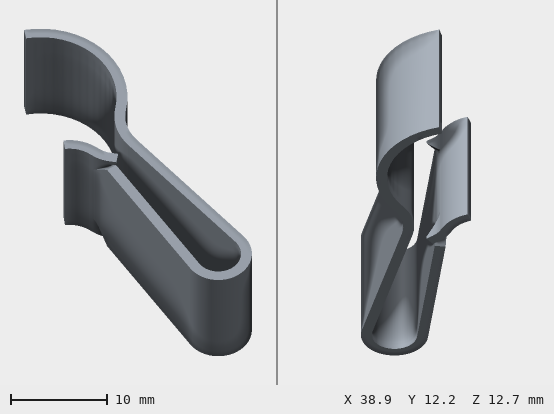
import cadquery as cq
import math

height = 12.7
thickness = 1.13
overall_depth = 12.15
hook_outer_radius = 9.0
hook_center_x = -11.65
hook_entry_angle = 60.0
back_start_x = -0.97
hook_to_back_drop = 5.17
right_end_x = 19.45

arm_angle = 7.4
arm_length = 16.88
lip_bend_radius = 3.3
lip_bend_sweep = 20.5
lip_flat_length = 0.55
lip_curl_radius = 4.05
lip_curl_sweep = 43.5
ear_bend_radius = 3.3
ear_bend_sweep = 26.0
ear_flat_length = 0.78
ear_corner_size = 2.5

half_thickness = thickness / 2
hook_radius = hook_outer_radius - half_thickness
hook_center_y = overall_depth / 2 - hook_outer_radius
loop_radius = (overall_depth - hook_to_back_drop - thickness) / 2
neck_run = back_start_x - hook_center_x
neck_angle = math.degrees(2 * math.atan(hook_to_back_drop / neck_run))
neck_bend_radius = neck_run / math.sin(math.radians(neck_angle)) - hook_radius
back_length = right_end_x - loop_radius - half_thickness - back_start_x


def shifted(point, angle, distance):
    """Point reached by moving a distance in the direction of an angle in degrees."""
    a = math.radians(angle)
    return (point[0] + distance * math.cos(a), point[1] + distance * math.sin(a))


def straight(pose, length):
    """Straight strip segment; returns its solid and the pose at its end."""
    point, heading = pose
    end = shifted(point, heading, length)
    corners = [
        shifted(point, heading + 90, half_thickness),
        shifted(end, heading + 90, half_thickness),
        shifted(end, heading - 90, half_thickness),
        shifted(point, heading - 90, half_thickness),
    ]
    solid = cq.Workplane("XY").polyline(corners).close().extrude(height / 2, both=True)
    return solid, (end, heading)


def bend(pose, radius, sweep):
    """Bent strip segment, positive sweep turning left; returns its solid and end pose."""
    point, heading = pose
    side = heading + math.copysign(90, sweep)
    center = shifted(point, side, radius)
    inner = radius - half_thickness
    outer = radius + half_thickness

    def on_arc(arc_radius, fraction):
        return shifted(center, side + 180 + sweep * fraction, arc_radius)

    solid = (
        cq.Workplane("XY")
        .moveTo(*on_arc(outer, 0))
        .threePointArc(on_arc(outer, 0.5), on_arc(outer, 1))
        .lineTo(*on_arc(inner, 1))
        .threePointArc(on_arc(inner, 0.5), on_arc(inner, 0))
        .close()
        .extrude(height / 2, both=True)
    )
    return solid, (on_arc(radius, 1), heading + sweep)


def corner_prisms(point, heading, root_extension=0):
    """Triangular prisms at both edges of the strip, tapering to nothing along the heading.

    The root extension prolongs the 45 degree taper backwards past the given point.
    """
    edge = height / 2
    reach = thickness * 4
    root_depth = ear_corner_size + root_extension
    triangle = [
        (-root_extension, edge),
        (ear_corner_size, edge),
        (-root_extension, edge - root_depth),
    ]
    upper = cq.Workplane("XZ").polyline(triangle).close().extrude(reach, both=True)
    both = upper.union(upper.mirror("XY"))
    return both.rotate((0, 0, 0), (0, 0, 1), heading).translate((*point, 0))


hook_start = shifted((hook_center_x, hook_center_y), 90 + hook_entry_angle, hook_radius)
hook, pose = bend((hook_start, hook_entry_angle), hook_radius, -hook_entry_angle - neck_angle)
neck_bend, pose = bend(pose, neck_bend_radius, neck_angle)
back, pose = straight(pose, back_length)
loop, pose = bend(pose, loop_radius, -180 - arm_angle)

arm, pose = straight(pose, arm_length)
lip_bend, lip_pose = bend(pose, lip_bend_radius, lip_bend_sweep)
lip_flat, pose = straight(lip_pose, lip_flat_length)
lip_curl, _ = bend(pose, lip_curl_radius, lip_curl_sweep)

lip_point, lip_heading = lip_pose
ear_bend, pose = bend((lip_point, lip_heading - 180), ear_bend_radius, ear_bend_sweep)
ear_flat, (_, ear_heading) = straight(pose, ear_flat_length)
ear_outline = corner_prisms(lip_point, ear_heading, root_extension=thickness)
ears = ear_bend.union(ear_flat).intersect(ear_outline)
arm_corners = corner_prisms(lip_point, -arm_angle)
arm_with_lip = arm.union(lip_bend).cut(arm_corners).union(lip_flat).union(lip_curl)

result = hook
for segment in (neck_bend, back, loop, arm_with_lip, ears):
    result = result.union(segment)